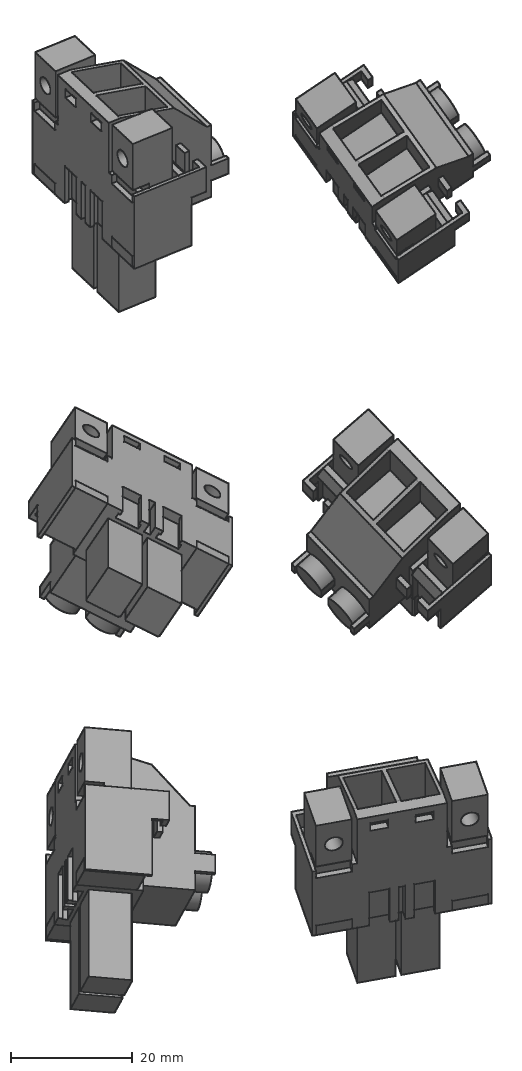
import cadquery as cq


base_width = 30.5
base_depth = 11.3
base_bottom = 15.55
base_top = 30.7
body_width = 15.25
body_top = 41.08
body_bottom = 16.8
body_back = 20.2
roof_flat_depth = 2.55
roof_knee = (12.85, 38.6)
roof_foot = (19.32, 31.85)
way_pitch = 7.65

outer_wall = 0.65
front_wall = 1.05
lever_width = 6.1
bay_back = 14.17
bay_back_wall = 0.95
bay_back_bottom = 25.6
bay_lip_length = 2.55
notch_bottom = 28.95
toe_top = 17.8
lever_x = base_width / 2 - outer_wall - lever_width / 2

funnel_x = 3.687
funnel_width = 6.5
funnel_front = 2.3
funnel_back = 11.95
funnel_bottom = base_top
window_width = 3.05
window_height = 1.77
window_depth = 1.3
window_bottom = 37.82

finger_x = 3.73
finger_width = 6.5
finger_front = 2.4
finger_back = 9.8
finger_chamfer = 0.25
slot_top = 23.3
coding_slot_width = 3.55
coding_slot_depth = 1.7
undercut_width = 4.3
undercut_front = 0.82
middle_slot_width = 1.15

button_radius = 3.38
button_width = 5.95
button_end = 23.2
button_z = 21.85
ear_height = 3.2
ear_end = 23.6

lever_top = 41.2
lever_front = 0.12
lever_back = 7.95
lever_neck_front = 3.38
lever_head_bottom = 31.5
lever_hole_diameter = 3.05
lever_hole_z = 36.17
arm_thickness = 1.1
arm_top = base_top
front_arm_back = front_wall + arm_thickness
arm_front = 9.15
arm_back = arm_front + arm_thickness
barb_tip = 11.58
barb_drop = 1.6


def box(x_range, y_range, z_range):
    """Axis-aligned block between the given limits."""
    sizes = [high - low for low, high in (x_range, y_range, z_range)]
    corner = (x_range[0], y_range[0], z_range[0])
    return cq.Workplane("XY").box(*sizes, centered=False).translate(corner)


def centered_box(x_center, width, y_range, z_range):
    """Block centred on x_center."""
    return box((x_center - width / 2, x_center + width / 2), y_range, z_range)


def side_extrusion(points, x_center, width):
    """Closed (y, z) outline extruded along X and centred on x_center."""
    profile = cq.Workplane("YZ").polyline(points).close()
    return profile.extrude(width / 2, both=True).translate((x_center, 0, 0))


def make_body():
    """Middle part of the housing with its sloping roof."""
    outline = [
        (0, base_bottom),
        (base_depth, base_bottom),
        (base_depth, body_bottom),
        (body_back, body_bottom),
        (body_back, roof_foot[1]),
        roof_foot,
        roof_knee,
        (roof_flat_depth, body_top),
        (0, body_top),
    ]
    return side_extrusion(outline, 0, body_width)


def make_bay(side):
    """Side bay: front wall, outer wall, inner wall and two lips at the back."""
    outer = side * base_width / 2
    inner = side * body_width / 2
    lever_inner = side * (lever_x - lever_width / 2)
    height = (base_bottom, base_top)
    lip_height = (bay_back_bottom, base_top)
    lip_depth = (bay_back - bay_back_wall, bay_back)

    def span(start, end):
        return (min(start, end), max(start, end))

    wall = span(outer, outer - side * outer_wall)
    bay = box(span(inner, outer), (0, front_wall), height)
    bay = bay.union(box(wall, (0, base_depth), height))
    bay = bay.union(box(wall, (0, bay_back), lip_height))
    bay = bay.union(box(span(inner, lever_inner), (0, base_depth), height))
    bay = bay.union(box(span(outer, outer - side * bay_lip_length), lip_depth, lip_height))
    bay = bay.union(box(span(inner, inner + side * bay_lip_length), lip_depth, lip_height))

    lever_center = side * lever_x
    notch = centered_box(lever_center, lever_width, (0, front_wall), (notch_bottom, base_top))
    toe_recess = centered_box(lever_center, lever_width, (0, front_wall), (base_bottom, toe_top))
    return bay.cut(notch).cut(toe_recess)


def make_finger(side):
    """Plug finger under the housing, chamfered along its rear edges."""
    finger = centered_box(side * finger_x, finger_width, (finger_front, finger_back), (0, base_bottom))
    return finger.faces(">Y").edges("|Z").chamfer(finger_chamfer)


def make_ear(side):
    """Guard ear on the outer side of a push button."""
    outer = body_width / 2
    inner = way_pitch / 2 + button_width / 2
    ear_height_range = (button_z - ear_height / 2, button_z + ear_height / 2)
    return centered_box(side * (outer + inner) / 2, outer - inner, (body_back, ear_end), ear_height_range)


def way_cutters(side):
    """Funnel, blind window and undercut coding slot of one contact way."""
    way_x = side * way_pitch / 2
    slot_height = (base_bottom, slot_top)
    return [
        centered_box(side * funnel_x, funnel_width, (funnel_front, funnel_back), (funnel_bottom, body_top)),
        centered_box(way_x, window_width, (0, window_depth), (window_bottom, window_bottom + window_height)),
        centered_box(way_x, coding_slot_width, (0, coding_slot_depth), slot_height),
        centered_box(way_x, undercut_width, (undercut_front, coding_slot_depth), slot_height),
    ]


def make_housing():
    housing = make_body()
    for side in (-1, 1):
        housing = housing.union(make_bay(side))
        housing = housing.union(make_finger(side))
        housing = housing.union(make_ear(side))
        for cutter in way_cutters(side):
            housing = housing.cut(cutter)
    middle_slot = centered_box(0, middle_slot_width, (0, coding_slot_depth), (base_bottom, slot_top))
    return housing.cut(middle_slot)


def make_lever(side):
    """Locking lever: pierced head on a neck, a spring arm on each side, and a toe."""
    outline = [
        (0, base_bottom),
        (arm_back, base_bottom),
        (arm_back, arm_top - barb_drop),
        (barb_tip, arm_top - barb_drop),
        (arm_back, arm_top),
        (arm_front, arm_top),
        (arm_front, toe_top),
        (lever_back, toe_top),
        (lever_back, lever_top),
        (lever_front, lever_top),
        (lever_front, lever_head_bottom),
        (lever_neck_front, lever_head_bottom),
        (lever_neck_front, toe_top),
        (front_arm_back, toe_top),
        (front_arm_back, arm_top),
        (front_wall, arm_top),
        (front_wall, toe_top),
        (0, toe_top),
    ]
    lever = side_extrusion(outline, side * lever_x, lever_width)
    hole = (
        cq.Workplane("XZ")
        .center(side * lever_x, lever_hole_z)
        .circle(lever_hole_diameter / 2)
        .extrude(-lever_back)
    )
    return lever.cut(hole)


def make_button(side):
    """Round push button with a flat on each side."""
    way_x = side * way_pitch / 2
    button = (
        cq.Workplane("XZ", origin=(0, body_back, 0))
        .center(way_x, button_z)
        .circle(button_radius)
        .extrude(body_back - button_end)
    )
    height = (button_z - button_radius, button_z + button_radius)
    return button.intersect(centered_box(way_x, button_width, (body_back, button_end), height))


housing = make_housing()
levers = [make_lever(side) for side in (-1, 1)]
buttons = [make_button(side) for side in (-1, 1)]

result = cq.Compound.makeCompound([body.val() for body in (housing, *levers, *buttons)])